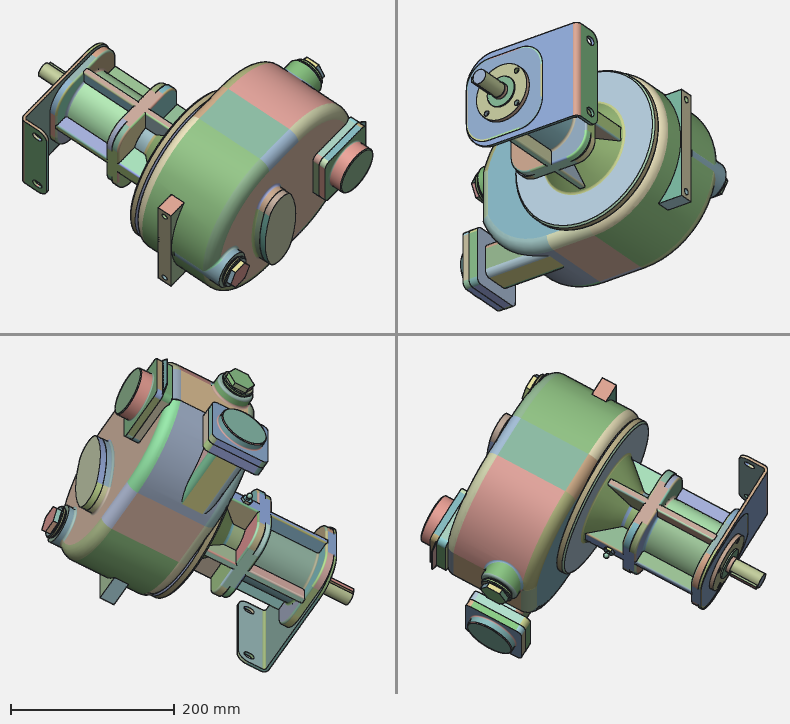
import cadquery as cq
import math

OVERALL_LENGTH = 390.5
OVERLAP = 2.0
HEX_SIDES = 6

SHAFT_RADIUS = 9.8
SHAFT_END = 40.0
SHOULDER_RADIUS = 10.5
KEY_START = 1.0
KEY_END = 38.3
KEY_WIDTH = 7.0
KEY_TOP = 12.0
SEAL_RADIUS = 20.5
SEAL_START = 45.0
COVER_RADIUS = 38.0
COVER_START = 47.0
COVER_HOLE_RADIUS = 3.5
COVER_HOLE_OFFSET = 22.5

MOUNT_Y = -110.5
BRACKET_START = 52.7
BRACKET_THICKNESS = 4.0
BRACKET_HALF_HEIGHT = 65.2
BRACKET_CORNER = 40.2
BRACKET_BEND = 7.0
FOOT_END = 94.0
FOOT_CORNER = 13.5
SLOT_X = 79.3
SLOT_OFFSET = 50.0
SLOT_LENGTH = 14.0
SLOT_WIDTH = 10.5
PAD_RAISE = 0.5
PAD_BEVEL = 2.5

FRAME_HALF = 57.5
FRAME_CORNER = 34.5
FRAME_FRONT_END = 67.0
FRAME_EDGE = 2.5
BARREL_RADIUS = 39.5
BARREL_FILLET = 2.7
BARREL_RIB = 9.5
MID_START = 144.5
MID_STEP = 153.5
MID_END = 164.0
MID_CORNER_FRONT = 30.0
MID_CORNER_REAR = 25.5
NECK_RADIUS = 28.0
NECK_END = 181.0
NECK_FILLET = 6.0
CONE_END = 217.5
CONE_RADIUS = 59.5
CONE_FOOT_RADIUS = 63.3
SIDE_RIB = 20.5
UPRIGHT_RIB = 9.5
RIB_EDGE = 2.0

NIPPLE_HEX = 14.0
NIPPLE_HEX_HEIGHT = 3.5
NIPPLE_NECK_RADIUS = 2.5
NIPPLE_HEAD_RADIUS = 3.5
NIPPLE_TOP = 69.5

ADAPTER_START = 219.0
ADAPTER_END = 230.8
ADAPTER_RADIUS = 105.0
ADAPTER_EDGE = 2.5

HOUSING_START = 229.0
HOUSING_END = 353.0
HOUSING_RADIUS = 111.0
HOUSING_EDGE = 14.5
MOUNT_SIDE_Y = 1.5
UPPER_BACK_Y = 58.5
LOWER_BACK_Y = 63.3
BACK_Y = 166.5

BLOCK_START = 269.0
BLOCK_END = 289.0
BLOCK_TOP = 69.5
BLOCK_BOTTOM = -79.5
BLOCK_HOLE_TOP = 59.5
BLOCK_HOLE_BOTTOM = -70.0
BLOCK_HOLE_RADIUS = 4.0

PIPE_FLANGE = 79.3
PIPE_BODY_FLANGE = 79.5
PIPE_SEAM = 12.5
PIPE_FLANGE_CORNER = 8.0
PIPE_FLANGE_THICKNESS = 22.0
SPIGOT_RADIUS = 31.5
SPIGOT_EDGE = 1.0
SPIGOT_FILLET = 1.5
DISCHARGE_X = 268.5
DISCHARGE_Z = -87.0
DISCHARGE_START = 168.5
DISCHARGE_END = 200.5
DUCT_SIDE = 46.0
DUCT_CORNER = 8.5
SUCTION_Y = 126.0
REAR_Z = -7.0
SUCTION_FACE = 372.0
TAG_X = 363.0
TAG_THICKNESS = 1.0
TAG_Y = 175.7
TAG_HALF = 26.5
TAG_SLOPE = 9.5

OVAL_HALF_HEIGHT = 65.0
OVAL_HALF_WIDTH = 29.5
OVAL_NOSE = 22.3
OVAL_PAD_LIP = 0.5
OVAL_SEAM = 363.0
OVAL_END = 371.8

BOSS_RADIUS = 25.0
BOSS_FILLET = 2.7
FILLER_X = 268.0
FILLER_Z = 29.0
FILLER_FACE = 179.2
DRAIN_Y = -84.5
DRAIN_FACE = 363.5
DRAIN_START = 293.0
PLUG_SEAL_RADIUS = 19.0
PLUG_SEAL = 1.5
PLUG_COLLAR_RADIUS = 21.0
PLUG_COLLAR = 4.5
PLUG_COLLAR_EDGE = 1.0
PLUG_HEX = 36.7
PLUG_HEX_HEIGHT = 6.5


def disc(start, end, radius):
    """Cylinder on the shaft axis."""
    return cq.Workplane("YZ", origin=(start, 0, 0)).circle(radius).extrude(end - start)


def block(x0, x1, y0, y1, z0, z1):
    """Box between two opposite corners."""
    return cq.Workplane("XY").box(x1 - x0, y1 - y0, z1 - z0, centered=False).translate((x0, y0, z0))


def square_plate(start, end, half, corner):
    """Square plate across the shaft with rounded corners."""
    plate = cq.Workplane("YZ", origin=(start, 0, 0)).rect(2 * half, 2 * half).extrude(end - start)
    return plate.edges("|X").fillet(corner)


def shaft():
    """Stepped shaft with its key, seal and drilled bearing cover."""
    key = block(KEY_START, KEY_END, 0, KEY_TOP, -KEY_WIDTH / 2, KEY_WIDTH / 2)
    cover = disc(COVER_START, BRACKET_START + OVERLAP, COVER_RADIUS)
    cover_holes = (
        cq.Workplane("YZ", origin=(COVER_START, 0, 0))
        .rect(2 * COVER_HOLE_OFFSET, 2 * COVER_HOLE_OFFSET, forConstruction=True)
        .vertices()
        .circle(COVER_HOLE_RADIUS)
        .extrude(BRACKET_START - COVER_START)
    )
    return (
        disc(0, SHAFT_END, SHAFT_RADIUS)
        .union(key)
        .union(disc(SHAFT_END, COVER_START, SHOULDER_RADIUS))
        .union(disc(SEAL_START, COVER_START, SEAL_RADIUS))
        .union(cover.cut(cover_holes))
    )


def bracket():
    """Bent plate with a slotted foot and a faintly raised pad over the frame end."""
    plate_end = BRACKET_START + BRACKET_THICKNESS
    plate = block(BRACKET_START, plate_end, MOUNT_Y, FRAME_HALF, -BRACKET_HALF_HEIGHT, BRACKET_HALF_HEIGHT)
    plate = plate.edges("|X and >Y").fillet(BRACKET_CORNER)
    foot = block(
        BRACKET_START, FOOT_END,
        MOUNT_Y, MOUNT_Y + BRACKET_THICKNESS,
        -BRACKET_HALF_HEIGHT, BRACKET_HALF_HEIGHT,
    )
    foot = foot.edges("|Y and >X").fillet(FOOT_CORNER)
    slots = (
        cq.Workplane("XZ", origin=(SLOT_X, MOUNT_Y + BRACKET_THICKNESS, 0))
        .pushPoints([(0, -SLOT_OFFSET), (0, SLOT_OFFSET)])
        .slot2D(SLOT_LENGTH, SLOT_WIDTH)
        .extrude(BRACKET_THICKNESS)
    )
    inner_bend = (plate_end, MOUNT_Y + BRACKET_THICKNESS, 0)
    angle = plate.union(foot.cut(slots))
    angle = angle.edges("|Z").edges(cq.selectors.NearestToPointSelector(inner_bend))
    angle = angle.fillet(BRACKET_BEND - BRACKET_THICKNESS)
    angle = angle.edges("|Z and <X and <Y").fillet(BRACKET_BEND)
    pad = square_plate(BRACKET_START - PAD_RAISE, plate_end, FRAME_HALF, FRAME_CORNER)
    pad = pad.faces("<X").edges().chamfer(PAD_RAISE / 2, PAD_BEVEL)
    return angle.union(pad)


def rib_cross(start, end, side_thickness, upright_thickness):
    """Ribs toward +Y and -Y, and toward +Z and -Z, with rounded outer edges."""
    side = block(start, end, -FRAME_HALF, FRAME_HALF, -side_thickness / 2, side_thickness / 2)
    upright = block(start, end, -upright_thickness / 2, upright_thickness / 2, -FRAME_HALF, FRAME_HALF)
    return side.edges("|X").fillet(RIB_EDGE).union(upright.edges("|X").fillet(RIB_EDGE))


def bearing_frame():
    """Square flanges on a ribbed barrel, then a ribbed cone widening toward the housing."""
    front = square_plate(BRACKET_START + OVERLAP, FRAME_FRONT_END, FRAME_HALF, FRAME_CORNER)
    front = front.faces(">X").edges().fillet(FRAME_EDGE)
    middle = square_plate(MID_START, MID_STEP, FRAME_HALF, MID_CORNER_FRONT)
    middle = middle.faces("<X").edges().fillet(FRAME_EDGE)
    middle_rear = square_plate(MID_STEP, MID_END, FRAME_HALF, MID_CORNER_REAR)
    middle_rear = middle_rear.faces(">X").edges().fillet(FRAME_EDGE)
    shell = front.union(middle).union(middle_rear)
    shell = shell.union(disc(BRACKET_START + OVERLAP, MID_STEP, BARREL_RADIUS))
    for root_x in (FRAME_FRONT_END, MID_START):
        root = cq.selectors.NearestToPointSelector((root_x, 0, 0))
        shell = shell.edges(root).fillet(BARREL_FILLET)
    cone = (
        cq.Workplane("XY")
        .moveTo(MID_STEP, 0)
        .lineTo(MID_STEP, NECK_RADIUS)
        .lineTo(NECK_END, NECK_RADIUS)
        .lineTo(CONE_END, CONE_RADIUS)
        .tangentArcPoint((ADAPTER_START, CONE_FOOT_RADIUS), relative=False)
        .lineTo(ADAPTER_START + OVERLAP, CONE_FOOT_RADIUS)
        .lineTo(ADAPTER_START + OVERLAP, 0)
        .close()
        .revolve(360, (0, 0, 0), (1, 0, 0))
        .edges(cq.selectors.NearestToPointSelector((NECK_END, 0, 0)))
        .fillet(NECK_FILLET)
    )
    return (
        shell.union(cone)
        .union(rib_cross(FRAME_FRONT_END - OVERLAP, MID_STEP, BARREL_RIB, BARREL_RIB))
        .union(rib_cross(MID_STEP, ADAPTER_START + OVERLAP, SIDE_RIB, UPRIGHT_RIB))
    )


def grease_nipple():
    """Hexagon, neck and ball head on the +Y rib."""
    seat_y = FRAME_HALF - OVERLAP
    plane = cq.Workplane(cq.Plane((NECK_END, seat_y, 0), (1, 0, 0), (0, 1, 0)))
    hexagon = plane.polygon(HEX_SIDES, NIPPLE_HEX).extrude(NIPPLE_HEX_HEIGHT + OVERLAP)
    head_y = NIPPLE_TOP - NIPPLE_HEAD_RADIUS
    neck = plane.circle(NIPPLE_NECK_RADIUS).extrude(head_y - seat_y)
    head = cq.Workplane("XY").sphere(NIPPLE_HEAD_RADIUS).translate((NECK_END, head_y, 0))
    return hexagon.union(neck).union(head)


def adapter():
    ring = disc(ADAPTER_START, ADAPTER_END, ADAPTER_RADIUS)
    return ring.edges().chamfer(ADAPTER_EDGE)


def housing():
    """Rounded body: a half circle at the mounting side, two cut-off arcs at the back."""
    upper_z = math.sqrt(HOUSING_RADIUS**2 - (BACK_Y - UPPER_BACK_Y) ** 2)
    lower_z = -math.sqrt(HOUSING_RADIUS**2 - (BACK_Y - LOWER_BACK_Y) ** 2)
    upper_angle = (math.pi / 2 + math.asin(upper_z / HOUSING_RADIUS)) / 2
    lower_angle = (-math.pi / 2 + math.asin(lower_z / HOUSING_RADIUS)) / 2

    def on_arc(center_y, angle):
        return center_y + HOUSING_RADIUS * math.cos(angle), HOUSING_RADIUS * math.sin(angle)

    body = (
        cq.Workplane("YZ", origin=(HOUSING_START, 0, 0))
        .moveTo(MOUNT_SIDE_Y, HOUSING_RADIUS)
        .lineTo(UPPER_BACK_Y, HOUSING_RADIUS)
        .threePointArc(on_arc(UPPER_BACK_Y, upper_angle), (BACK_Y, upper_z))
        .lineTo(BACK_Y, lower_z)
        .threePointArc(on_arc(LOWER_BACK_Y, lower_angle), (LOWER_BACK_Y, -HOUSING_RADIUS))
        .lineTo(MOUNT_SIDE_Y, -HOUSING_RADIUS)
        .threePointArc((MOUNT_SIDE_Y - HOUSING_RADIUS, 0), (MOUNT_SIDE_Y, HOUSING_RADIUS))
        .close()
        .extrude(HOUSING_END - HOUSING_START)
    )
    return body.faces("<X or >X").edges().fillet(HOUSING_EDGE)


def mounting_block():
    """Block with two bolt holes that run in as far as the housing wall."""
    body = block(BLOCK_START, BLOCK_END, MOUNT_Y, MOUNT_SIDE_Y - HOUSING_RADIUS / 2, BLOCK_BOTTOM, BLOCK_TOP)
    hole_x = (BLOCK_START + BLOCK_END) / 2
    holes = (
        cq.Workplane("XZ", origin=(hole_x, 0, 0))
        .pushPoints([(0, BLOCK_HOLE_TOP), (0, BLOCK_HOLE_BOTTOM)])
        .circle(BLOCK_HOLE_RADIUS)
        .extrude(-MOUNT_Y)
    )
    return body.cut(holes)


def pipe_connection(plane, length):
    """Body flange, loose flange and round spigot, built outward from the plane's origin."""
    outward = plane.plane.zDir

    def flange(size, start, end):
        plate = plane.workplane(offset=start).rect(size, size).extrude(end - start)
        return plate.edges(cq.selectors.ParallelDirSelector(outward)).fillet(PIPE_FLANGE_CORNER)

    spigot = plane.circle(SPIGOT_RADIUS).extrude(length)
    spigot = spigot.faces(cq.selectors.DirectionMinMaxSelector(outward)).edges().chamfer(SPIGOT_EDGE)
    root = plane.plane.origin + outward * PIPE_FLANGE_THICKNESS
    return (
        flange(PIPE_BODY_FLANGE, 0, PIPE_SEAM)
        .union(flange(PIPE_FLANGE, PIPE_SEAM, PIPE_FLANGE_THICKNESS))
        .union(spigot)
        .edges(cq.selectors.NearestToPointSelector(root.toTuple()))
        .fillet(SPIGOT_FILLET)
    )


def discharge():
    plane = cq.Workplane(cq.Plane((DISCHARGE_X, DISCHARGE_START, DISCHARGE_Z), (1, 0, 0), (0, 1, 0)))
    duct = plane.rect(DUCT_SIDE, DUCT_SIDE).extrude(LOWER_BACK_Y - DISCHARGE_START)
    duct = duct.edges("|Y").fillet(DUCT_CORNER)
    return pipe_connection(plane, DISCHARGE_END - DISCHARGE_START).union(duct)


def suction():
    start = SUCTION_FACE - PIPE_FLANGE_THICKNESS
    plane = cq.Workplane(cq.Plane((start, SUCTION_Y, REAR_Z), (0, 1, 0), (1, 0, 0)))
    tag = (
        cq.Workplane("YZ", origin=(TAG_X, 0, REAR_Z))
        .moveTo(SUCTION_Y, TAG_HALF + TAG_SLOPE)
        .lineTo(TAG_Y - TAG_SLOPE, TAG_HALF + TAG_SLOPE)
        .lineTo(TAG_Y, TAG_HALF)
        .lineTo(TAG_Y, -TAG_HALF)
        .lineTo(TAG_Y - TAG_SLOPE, -TAG_HALF - TAG_SLOPE)
        .lineTo(SUCTION_Y, -TAG_HALF - TAG_SLOPE)
        .close()
        .extrude(TAG_THICKNESS)
    )
    return pipe_connection(plane, OVERALL_LENGTH - start).union(tag)


def oval_outline():
    """Oval: two nose arcs joined by large tangent side arcs."""
    nose_z = OVAL_HALF_HEIGHT - OVAL_NOSE
    slack = OVAL_HALF_WIDTH - OVAL_NOSE
    side_center = (nose_z**2 - slack**2) / (2 * slack)
    side_radius = side_center + OVAL_HALF_WIDTH
    reach = side_radius / (side_radius - OVAL_NOSE)
    join_z = nose_z * reach
    join_y = side_center * (reach - 1)
    return (
        cq.Workplane("YZ", origin=(HOUSING_END - OVERLAP, 0, REAR_Z))
        .moveTo(join_y, -join_z)
        .threePointArc((OVAL_HALF_WIDTH, 0), (join_y, join_z))
        .threePointArc((0, OVAL_HALF_HEIGHT), (-join_y, join_z))
        .threePointArc((-OVAL_HALF_WIDTH, 0), (-join_y, -join_z))
        .threePointArc((0, -OVAL_HALF_HEIGHT), (join_y, -join_z))
        .close()
    )


def inspection_pad():
    pad = oval_outline().offset2D(OVAL_PAD_LIP)
    return pad.extrude(OVAL_SEAM + OVERLAP - HOUSING_END)


def inspection_cover():
    return oval_outline().extrude(OVAL_END + OVERLAP - HOUSING_END)


def plug(plane):
    """Hexagon plug with a collar on a thin seal, built outward from the plane's origin."""
    seal = plane.circle(PLUG_SEAL_RADIUS).extrude(PLUG_SEAL)
    collar = plane.workplane(offset=PLUG_SEAL).circle(PLUG_COLLAR_RADIUS).extrude(PLUG_COLLAR)
    collar = collar.edges().chamfer(PLUG_COLLAR_EDGE)
    head = plane.polygon(HEX_SIDES, PLUG_HEX).extrude(PLUG_SEAL + PLUG_COLLAR + PLUG_HEX_HEIGHT)
    return seal.union(collar).union(head)


def filler_plug():
    return plug(cq.Workplane(cq.Plane((FILLER_X, FILLER_FACE, FILLER_Z), (1, 0, 0), (0, 1, 0))))


def filler_boss():
    plane = cq.Workplane(cq.Plane((FILLER_X, UPPER_BACK_Y, FILLER_Z), (1, 0, 0), (0, 1, 0)))
    return plane.circle(BOSS_RADIUS).extrude(FILLER_FACE - UPPER_BACK_Y)


def drain_boss():
    boss = cq.Workplane("YZ", origin=(DRAIN_START, DRAIN_Y, REAR_Z)).circle(BOSS_RADIUS)
    return boss.extrude(DRAIN_FACE - DRAIN_START)


def drain_plug():
    return plug(cq.Workplane("YZ", origin=(DRAIN_FACE, DRAIN_Y, REAR_Z)))


def box_around(center, reach):
    """Selector for edges lying wholly in a box, given its centre and half sizes."""
    low = [middle - half for middle, half in zip(center, reach)]
    high = [middle + half for middle, half in zip(center, reach)]
    return cq.selectors.BoxSelector(low, high, boundingbox=True)


def casing():
    """Housing with its cast-on bosses and rear pad, rounded where they meet the wall."""
    margin = BOSS_RADIUS + OVERLAP
    around_filler = box_around((FILLER_X, BACK_Y, FILLER_Z), (margin, HOUSING_EDGE, margin))
    around_drain = box_around((HOUSING_END, DRAIN_Y, REAR_Z), (OVERLAP, margin, margin))
    pad_reach = (OVERLAP, OVAL_HALF_WIDTH + OVERLAP, OVAL_HALF_HEIGHT + OVERLAP)
    around_pad = box_around((HOUSING_END, 0, REAR_Z), pad_reach)
    additions = (
        (filler_boss(), around_filler),
        (drain_boss(), around_drain),
        (inspection_pad(), around_pad),
    )
    body = housing()
    for addition, root in additions:
        body = body.union(addition).edges(root).fillet(BOSS_FILLET)
    return body


result = (
    casing()
    .union(filler_plug())
    .union(mounting_block())
    .union(drain_plug())
    .union(discharge())
    .union(suction())
    .union(inspection_cover())
    .union(adapter())
    .union(bearing_frame())
    .union(grease_nipple())
    .union(bracket())
    .union(shaft())
)